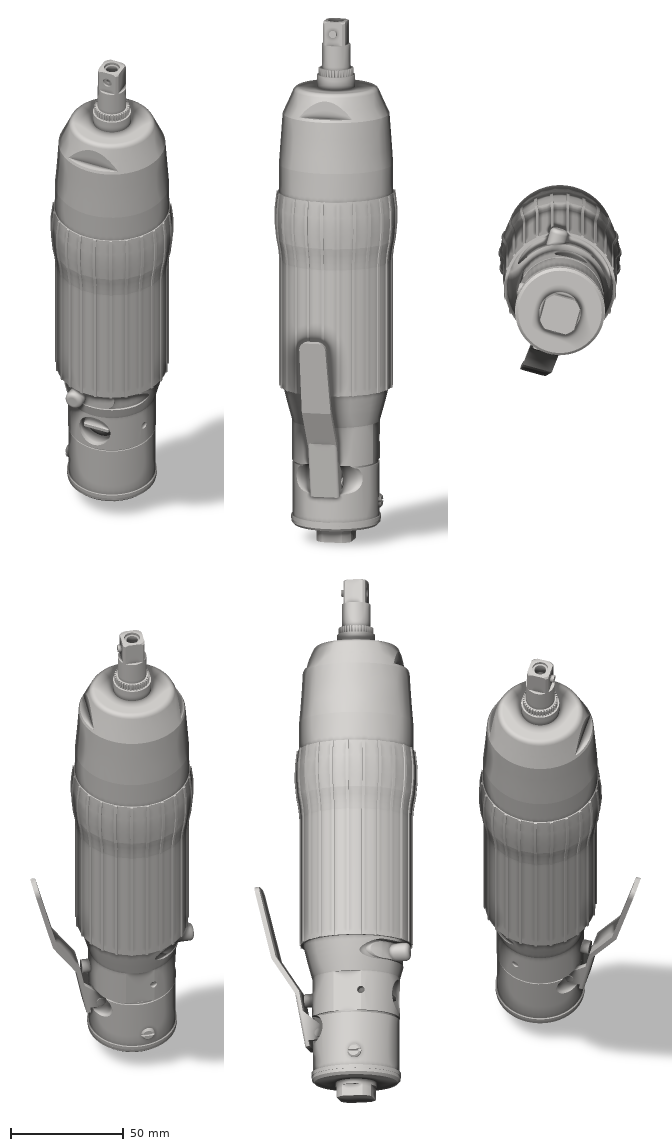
import cadquery as cq
import math

total_height = 235.8

inlet_square = 15.8
inlet_corner_radius = 9.2
inlet_square_top = 5.2
inlet_top = 7.3

cap_radius = 19.8
snap_ring_radius = 20.0
snap_ring_bottom = 10.0
cap_top = 11.5
cap_chamfer = 1.2
lower_radius = 19.3
groove_bottom = 35.5
groove_top = 36.5
groove_depth = 0.7
valve_radius = 19.5
valve_top = 54.5

neck_top_radius = 23.5
neck_mid_radius = 21.5
neck_mid_z = 61.3

grip_bottom = 69.8
grip_top = 127.0
grip_radius = 24.8
grip_blend_radius = 25.2
bulge_low_z = 137.0
bulge_low_radius = 26.2
bulge_mid_z = 148.0
bulge_radius = 26.9
bulge_top_z = 158.2
bulge_top_radius = 26.0
rib_height = 0.6
rib_count = 23
rib_angle = 2.7
rib_root_radius = 22.5

nose_radius = 25.5
nose_straight_top = 171.0
shoulder_radius = 23.8
shoulder_z = 193.8
nose_top = 205.8
nose_top_radius = 18.5
nose_edge_fillet = 2.5
flat_half_width = 19.8
flat_bottom = 195.0

collar_radius = 8.5
collar_top = 211.2
knurl_radius = 7.8
knurl_top = 214.3
knurl_count = 36
knurl_notch = 0.7
shaft_radius = 6.4
shaft_top = 225.1
square_size = 10.0
square_top_chamfer = 0.7
bore_radius = 2.5
bore_depth = 6.0
counterbore_radius = 3.5
counterbore_depth = 1.2
detent_z = 230.5
detent_recess_radius = 2.1
detent_recess_depth = 1.0
detent_hole_radius = 1.0
detent_hole_depth = 2.8
detent_pin_radius = 1.7
detent_pin_reach = 6.5

control_z = 45.7
dial_radius = 7.5
dial_floor = 11.8
dial_ridge_reach = 17.0
dial_ridge_length = 11.8
dial_ridge_width = 1.5
button_radius = 3.0
button_reach = 23.0
side_flat_half_width = 6.4
side_hole_radius = 1.7
side_hole_y = -6.1
side_hole_bottom_x = 15.3

screw_y = -3.3
screw_z = 18.0
screw_radius = 3.0
screw_reach = 20.3
screw_chamfer = 0.7
screw_slot_width = 1.0
screw_slot_depth = 1.2

window_z = 64.4
window_length = 42.5
window_height = 8.7
window_floor_radius = 20.0
plate_start_x = -18.2
plate_end_x = 9.7
plate_height = 7.5
plate_radius = 21.0
knob_x = -7.3
knob_radius = 4.0
knob_reach = 26.2
knob_tip_fillet = 2.0

lever_outer_path = [(45.5, 97.5), (37.2, 64.4), (26.6, 48.3), (22.0, 23.3)]
lever_thickness = 2.1
lever_width = 13.2
lever_tip_width = 11.8
lever_tip_round = 3.8
lever_bend_radius = 1.2
ear_outline = [(23.0, 40.0), (18.6, 36.3), (13.7, 32.3), (13.2, 28.5), (14.5, 26.5), (21.2, 26.5)]
ear_inner_half_width = 4.5
pivot_y = 15.5
pivot_z = 29.5
pivot_radius = 2.0
pivot_reach = 7.0
pocket_y = 18.6
pocket_z = 30.6
pocket_radius = 6.5


def disc(radius, bottom, top):
    return cq.Workplane("XY").workplane(offset=bottom).circle(radius).extrude(top - bottom)


def rod_along_y(radius, x, z, start_y, end_y):
    plane = cq.Plane(origin=(x, start_y, z), xDir=(1, 0, 0), normal=(0, -1, 0))
    return cq.Workplane(plane).circle(radius).extrude(start_y - end_y)


def rod_along_x(radius, y, z, start_x, end_x):
    plane = cq.Plane(origin=(start_x, y, z), xDir=(0, 1, 0), normal=(1, 0, 0))
    return cq.Workplane(plane).circle(radius).extrude(end_x - start_x)


def make_inlet():
    square = cq.Workplane("XY").rect(inlet_square, inlet_square).extrude(inlet_top)
    square = square.intersect(disc(inlet_corner_radius, 0, inlet_top))
    return square.union(disc(inlet_corner_radius, inlet_square_top, inlet_top))


def make_valve_housing():
    cap = disc(cap_radius, inlet_top, snap_ring_bottom).faces("<Z").edges().chamfer(cap_chamfer)
    housing = cap.union(disc(snap_ring_radius, snap_ring_bottom, cap_top))
    housing = housing.union(disc(lower_radius, cap_top, groove_bottom))
    housing = housing.union(disc(lower_radius - groove_depth, groove_bottom, groove_top))
    housing = housing.union(disc(valve_radius, groove_top, valve_top))

    pad_x = math.sqrt(valve_radius**2 - side_flat_half_width**2)
    pad_cut = (
        cq.Workplane("XY")
        .workplane(offset=groove_top)
        .center(-pad_x - valve_radius / 2, 0)
        .rect(valve_radius, 2 * valve_radius)
        .extrude(valve_top - groove_top)
    )
    return housing.cut(pad_cut)


def make_neck():
    return (
        cq.Workplane("XZ")
        .moveTo(0, valve_top)
        .lineTo(valve_radius, valve_top)
        .threePointArc((neck_mid_radius, neck_mid_z), (neck_top_radius, grip_bottom))
        .lineTo(0, grip_bottom)
        .close()
        .revolve(360, (0, 0), (0, 1))
    )


def grip_section(inner_radius, added_radius):
    """Half section of the grip, with its outer line moved out by added_radius."""
    blend_z = (grip_top + bulge_low_z) / 2
    return (
        cq.Workplane("XZ")
        .moveTo(inner_radius, grip_bottom)
        .lineTo(grip_radius + added_radius, grip_bottom)
        .lineTo(grip_radius + added_radius, grip_top)
        .threePointArc(
            (grip_blend_radius + added_radius, blend_z),
            (bulge_low_radius + added_radius, bulge_low_z),
        )
        .threePointArc(
            (bulge_radius + added_radius, bulge_mid_z),
            (bulge_top_radius + added_radius, bulge_top_z),
        )
        .lineTo(inner_radius, bulge_top_z)
        .close()
    )


def make_grip():
    grip = grip_section(0, 0).revolve(360, (0, 0), (0, 1))
    rib = grip_section(rib_root_radius, rib_height).revolve(rib_angle, (0, 0), (0, 1))
    pitch = 360 / rib_count
    first_turn = -90 + pitch / 2 - rib_angle / 2
    for index in range(rib_count):
        turn = first_turn + index * pitch
        grip = grip.union(rib.rotate((0, 0, 0), (0, 0, 1), turn))
    return grip


def make_nose():
    nose = (
        cq.Workplane("XZ")
        .moveTo(0, bulge_top_z)
        .lineTo(nose_radius, bulge_top_z)
        .lineTo(nose_radius, nose_straight_top)
        .lineTo(shoulder_radius, shoulder_z)
        .lineTo(nose_top_radius, nose_top)
        .lineTo(0, nose_top)
        .close()
        .revolve(360, (0, 0), (0, 1))
    )
    nose = nose.faces(">Z").edges().fillet(nose_edge_fillet)
    for side in (-1, 1):
        flat_cut = (
            cq.Workplane("XY")
            .workplane(offset=flat_bottom)
            .center(0, side * (flat_half_width + nose_radius / 2))
            .rect(2 * nose_radius, nose_radius)
            .extrude(nose_top - flat_bottom)
        )
        nose = nose.cut(flat_cut)
    return nose


def make_spindle():
    knurl = disc(knurl_radius, collar_top, knurl_top)
    notches = (
        cq.Workplane("XY")
        .workplane(offset=collar_top)
        .polarArray(knurl_radius, 0, 360, knurl_count)
        .rect(2 * knurl_notch, knurl_notch)
        .extrude(knurl_top - collar_top)
    )
    spindle = disc(collar_radius, nose_top, collar_top)
    spindle = spindle.union(knurl.cut(notches))
    spindle = spindle.union(disc(shaft_radius, knurl_top, shaft_top))

    rounding = disc(shaft_radius, shaft_top, total_height)
    rounding = rounding.faces(">Z").edges().chamfer(square_top_chamfer)
    drive = (
        cq.Workplane("XY")
        .workplane(offset=shaft_top)
        .rect(square_size, square_size)
        .extrude(total_height - shaft_top)
        .intersect(rounding)
    )
    drive = drive.cut(disc(bore_radius, total_height - bore_depth, total_height))
    drive = drive.cut(disc(counterbore_radius, total_height - counterbore_depth, total_height))

    face_y = square_size / 2
    recess_end = detent_recess_depth - face_y
    hole_end = detent_hole_depth - face_y
    drive = drive.cut(rod_along_y(detent_recess_radius, 0, detent_z, recess_end, -face_y))
    drive = drive.cut(rod_along_y(detent_hole_radius, 0, detent_z, hole_end, -face_y))
    pin_root = (face_y + bore_radius) / 2
    drive = drive.union(rod_along_y(detent_pin_radius, 0, detent_z, detent_pin_reach, pin_root))
    return spindle.union(drive)


def add_dial(tool):
    """Reversing dial on the -Y side: round recess with a tapered finger ridge."""
    tool = tool.cut(rod_along_y(dial_radius, 0, control_z, -dial_floor, -neck_top_radius))
    plane = cq.Plane(origin=(0, -dial_floor, control_z), xDir=(1, 0, 0), normal=(0, -1, 0))
    ridge = (
        cq.Workplane(plane)
        .circle(dial_radius)
        .workplane(offset=dial_ridge_reach - dial_floor)
        .rect(dial_ridge_length, dial_ridge_width)
        .loft()
    )
    return tool.union(ridge)


def window_slot(start_x, end_x, height, floor_radius):
    """Round-ended bar on the -Y side of the neck, outside floor_radius."""
    slot = (
        cq.Workplane("XZ")
        .center((start_x + end_x) / 2, window_z)
        .slot2D(end_x - start_x, height)
        .extrude(grip_radius)
    )
    return slot.cut(disc(floor_radius, valve_top, grip_bottom))


def add_setting_window(tool):
    half_length = window_length / 2
    tool = tool.cut(window_slot(-half_length, half_length, window_height, window_floor_radius))
    plate = window_slot(plate_start_x, plate_end_x, plate_height, window_floor_radius / 2)
    tool = tool.union(plate.intersect(disc(plate_radius, valve_top, grip_bottom)))
    knob = rod_along_y(knob_radius, knob_x, window_z, -dial_floor, -knob_reach)
    return tool.union(knob.faces("<Y").edges().fillet(knob_tip_fillet))


def add_screw(tool):
    screw = rod_along_x(screw_radius, screw_y, screw_z, -screw_reach, -lower_radius / 2)
    tool = tool.union(screw.faces("<X").edges().chamfer(screw_chamfer))
    slot = cq.Workplane("XY").box(2 * screw_slot_depth, 2 * screw_radius, screw_slot_width)
    return tool.cut(slot.translate((-screw_reach, screw_y, screw_z)))


def cut_side_holes(tool):
    """Blind holes on the -X and +X sides of the valve housing."""
    for side in (-1, 1):
        hole = rod_along_x(
            side_hole_radius, side_hole_y, control_z, side * side_hole_bottom_x, side * cap_radius
        )
        tool = tool.cut(hole)
    return tool


def cut_lever_seat(tool):
    """Round pockets on both sides of a central tongue, with a pivot hole through the tongue."""
    for side in (-1, 1):
        pocket = rod_along_x(
            pocket_radius, pocket_y, pocket_z, side * ear_inner_half_width, side * cap_radius
        )
        tool = tool.cut(pocket)
    return tool.cut(rod_along_x(pivot_radius, pivot_y, pivot_z, -pivot_reach, pivot_reach))


def make_tool():
    tool = make_inlet()
    for section in (make_valve_housing(), make_neck(), make_grip(), make_nose(), make_spindle()):
        tool = tool.union(section)
    tool = add_dial(tool)
    tool = add_setting_window(tool)
    tool = add_screw(tool)
    tool = cut_side_holes(tool)
    tool = tool.union(rod_along_y(button_radius, 0, control_z, button_reach, valve_radius / 2))
    return cut_lever_seat(tool)


def offset_path(path, distance):
    """Move an open (y, z) path that runs downwards towards -Y, keeping mitred corners."""
    angles = [
        math.atan2(end[1] - start[1], end[0] - start[0]) for start, end in zip(path, path[1:])
    ]
    before = [angles[0]] + angles
    after = angles + [angles[-1]]
    moved = []
    for (y, z), first, second in zip(path, before, after):
        direction = (first + second) / 2 - math.pi / 2
        reach = distance / math.cos((second - first) / 2)
        moved.append((y + reach * math.cos(direction), z + reach * math.sin(direction)))
    return moved


def make_lever():
    inner_path = offset_path(lever_outer_path, lever_thickness)
    web = (
        cq.Workplane("YZ")
        .polyline(lever_outer_path + inner_path[::-1])
        .close()
        .extrude(lever_width / 2, both=True)
    )

    tip_y = lever_outer_path[0][0]
    tip_z = inner_path[0][1]
    bend_z = lever_outer_path[1][1]
    outline = (
        cq.Workplane("XZ")
        .polyline([
            (-lever_width / 2, 0),
            (lever_width / 2, 0),
            (lever_width / 2, bend_z),
            (lever_tip_width / 2, tip_z),
            (-lever_tip_width / 2, tip_z),
            (-lever_width / 2, bend_z),
        ])
        .close()
        .extrude(-tip_y)
        .edges("|Y and >Z")
        .fillet(lever_tip_round)
    )
    lever = web.intersect(outline)

    ear_thickness = lever_width / 2 - ear_inner_half_width
    for start_x in (-lever_width / 2, ear_inner_half_width):
        ear = (
            cq.Workplane("YZ")
            .workplane(offset=start_x)
            .polyline(ear_outline)
            .close()
            .extrude(ear_thickness)
        )
        lever = lever.union(ear)
    knee, foot = lever_outer_path[2:]
    bend_y = (knee[0] + foot[0]) / 2
    bend_z = (knee[1] + foot[1]) / 2
    for side in (-1, 1):
        nearest = cq.selectors.NearestToPointSelector((side * lever_width / 2, bend_y, bend_z))
        lever = lever.edges(nearest).fillet(lever_bend_radius)
    return lever.union(rod_along_x(pivot_radius, pivot_y, pivot_z, -pivot_reach, pivot_reach))


tool_body = make_tool()
lever_body = make_lever()

result = cq.Compound.makeCompound([tool_body.solids().val(), lever_body.solids().val()])